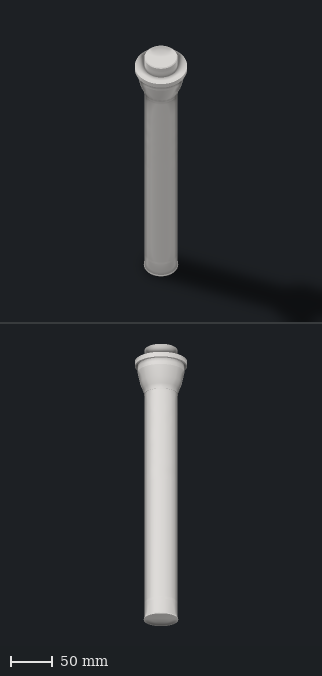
import cadquery as cq
import math

height = 350.0
slim_dia = 39.5
seat_dia = 40.0
top_chamfer = 1.0

seat_top = 340.5
seat_lead_in = 343.7
seat_bottom = 287.7
taper_bottom = 175.7
foot_lead_in = 23.8
foot_top = 20.5

rim_dia = 41.3
rim_top = 3.0
rim_slope_end = 2.0
dome_height = 1.5

flange_dia = 62.5
flange_top = 334.5
flange_bottom = 328.5
collar_dia = 56.0
flare_top = 320.2
flare_top_slope = 0.25
flare_mid_dia = 47.0
flare_mid_height = 301.7
neck_dia = 41.0
neck_bottom = 292.0


def revolve_about_z(outline):
    """Turn an open outline of (radius, height), closed by a line, into a solid about the Z axis."""
    return outline.close().revolve(360, (0, 0, 0), (0, 1, 0))


def make_shaft():
    """Solid shaft with a domed foot: thicker at the collar seat and the foot, slim elsewhere."""
    slim_r = slim_dia / 2
    seat_r = seat_dia / 2
    rim_r = rim_dia / 2
    dome_r = (rim_r**2 + dome_height**2) / (2 * dome_height)
    mid_r = rim_r / 2
    dome_mid = (mid_r, dome_r - math.sqrt(dome_r**2 - mid_r**2))
    outline = (
        cq.Workplane("XZ")
        .moveTo(0, 0)
        .threePointArc(dome_mid, (rim_r, dome_height))
        .lineTo(rim_r, rim_slope_end)
        .lineTo(seat_r, rim_top)
        .lineTo(seat_r, foot_top)
        .lineTo(slim_r, foot_lead_in)
        .lineTo(slim_r, taper_bottom)
        .lineTo(seat_r, seat_bottom)
        .lineTo(seat_r, seat_top)
        .lineTo(slim_r, seat_lead_in)
        .lineTo(slim_r, height - top_chamfer)
        .lineTo(slim_r - top_chamfer, height)
        .lineTo(0, height)
    )
    return revolve_about_z(outline)


def make_collar():
    """Flanged collar, bored to fit the shaft seat, whose curved flare runs down to a thin neck."""
    bore_r = seat_dia / 2
    flange_r = flange_dia / 2
    collar_r = collar_dia / 2
    neck_r = neck_dia / 2
    flare_mid = (flare_mid_dia / 2, flare_mid_height)
    neck_tangent = (0, 1)
    flare_top_tangent = (flare_top_slope, 1)
    outline = (
        cq.Workplane("XZ")
        .moveTo(bore_r, neck_bottom)
        .lineTo(neck_r, neck_bottom)
        .spline(
            [flare_mid, (collar_r, flare_top)],
            tangents=[neck_tangent, flare_top_tangent],
            includeCurrent=True,
        )
        .lineTo(collar_r, flange_bottom)
        .lineTo(flange_r, flange_bottom)
        .lineTo(flange_r, flange_top)
        .lineTo(bore_r, flange_top)
    )
    return revolve_about_z(outline)


shaft = make_shaft()
collar = make_collar()

result = cq.Compound.makeCompound([shaft.val(), collar.val()])